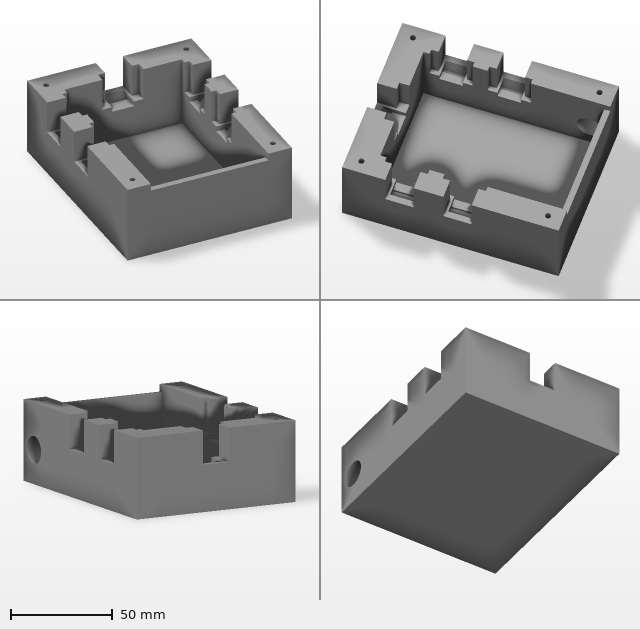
import cadquery as cq

length = 113.0
width = 90.0
height = 41.0

end_wall = 15.5
side_wall = 12.8
thin_wall = 3.2
thin_wall_drop = 3.8
floor_thickness = 4.0
cavity_length = length - end_wall - thin_wall
cavity_width = width - 2 * side_wall

notch_width = 14.8
notch_depth = 17.3
recess_width = 22.5
side_recess = 2.6
end_recess = 5.3
first_notch_x = 30.0
notch_spacing = 30.3
notch_floor = height - notch_depth

pocket_width = 12.2
ramp_start = 3.3
ramp_end = 6.2
groove_end = 8.2
shelf_depth = 2.7
groove_depth = 4.1

screw_diameter = 3.0
screw_depth = 11.3
screw_inset_x = 7.8
screw_inset_y = 6.5

opening_diameter = 13.9
opening_x = 102.4
opening_z = floor_thickness + 13.3


def box(x_size, y_size, z_size, x, y, z):
    """Box whose lowest corner is at (x, y, z)."""
    return cq.Workplane("XY").box(x_size, y_size, z_size, centered=False).translate((x, y, z))


def notch_cutter(wall, recess):
    """Cutter running in from an outer face at X = 0 along +X, centred on Y = 0."""
    channel = box(wall, notch_width, notch_depth, 0, -notch_width / 2, notch_floor)
    widening = box(recess, recess_width, notch_depth, wall - recess, -recess_width / 2, notch_floor)
    pocket = (
        cq.Workplane("XZ")
        .moveTo(ramp_start, notch_floor)
        .lineTo(ramp_end, notch_floor - groove_depth)
        .lineTo(groove_end, notch_floor - groove_depth)
        .lineTo(groove_end, notch_floor - shelf_depth)
        .lineTo(wall, notch_floor - shelf_depth)
        .lineTo(wall, notch_floor)
        .close()
        .extrude(pocket_width / 2, both=True)
    )
    return channel.union(widening).union(pocket)


body = box(length, width, height, 0, 0, 0)
body = body.cut(box(cavity_length, cavity_width, height, end_wall, side_wall, floor_thickness))
body = body.cut(
    box(thin_wall, cavity_width, thin_wall_drop, length - thin_wall, side_wall, height - thin_wall_drop)
)

body = body.cut(notch_cutter(end_wall, end_recess).translate((0, width / 2, 0)))
side_notch = notch_cutter(side_wall, side_recess)
front_notch = side_notch.rotate((0, 0, 0), (0, 0, 1), 90)
back_notch = side_notch.rotate((0, 0, 0), (0, 0, 1), -90)
for notch_x in (first_notch_x, first_notch_x + notch_spacing):
    body = body.cut(front_notch.translate((notch_x, 0, 0)))
    body = body.cut(back_notch.translate((notch_x, width, 0)))

for screw_x in (screw_inset_x, length - screw_inset_x):
    for screw_y in (screw_inset_y, width - screw_inset_y):
        screw_hole = cq.Workplane("XY").circle(screw_diameter / 2).extrude(screw_depth)
        body = body.cut(screw_hole.translate((screw_x, screw_y, height - screw_depth)))

opening = cq.Workplane("XZ").circle(opening_diameter / 2).extrude(side_wall)
body = body.cut(opening.translate((opening_x, width, opening_z)))

result = body